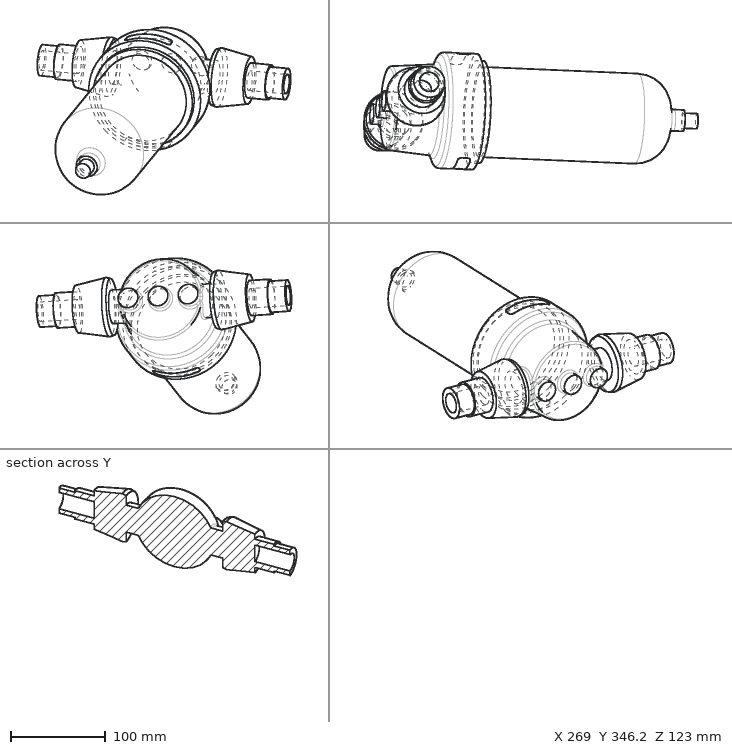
import cadquery as cq

overall_length = 346.2
overall_width = 269.0

nozzle_radius = 35.5 / 2
nozzle_fillet = 2.5
nut_radius = 31.5
nut_inner_radius = 30.0
nut_small_radius = 25.3
nut_inner_end = 56.0
nut_widest = 60.5
nut_outer_end = 93.8
sleeve_radius = 18.7
sleeve_end = 116.0
pipe_radius = 16.5
pipe_end = overall_width / 2
bore_radius = 10.5
bore_depth = pipe_end - nut_outer_end

head_top = 18.0
head_top_radius = 44.3
head_base = -31.0
head_base_radius = 48.5
head_edge_fillet = 2.5

collar_radius = 123.0 / 2
collar_start = -37.0
collar_end = -75.0
shoulder_inner_fillet = 5.2
shoulder_outer_fillet = 4.5
ring_radius = 54.5
ring_end = -82.5

bowl_radius = 47.8
bowl_end = -285.0
bowl_corner = 36.0
neck_radius = 11.5
neck_fillet = 5.0
neck_end = -300.0
drain_radius = 16.3 / 2
drain_end = nut_radius - overall_length

boss_radius = 10.7
boss_top = 28.7
boss_pitch = 32.5
boss_fillet = 2.5

label_length = 50.0
label_height = 13.5
label_corner = 3.8
label_center = -60.0
label_depth = 0.17

tolerance = 0.05


def round_ring(solid, y, radius, fillet):
    """Fillet the circular edge of the given radius that lies at height y."""
    ring = solid.edges("%CIRCLE").filter(
        lambda edge: abs(edge.Center().y - y) < tolerance and abs(edge.radius() - radius) < tolerance
    )
    return ring.fillet(fillet)


def make_housing():
    """Head, collar, ring, bowl and drain as one turned solid."""
    housing = (
        cq.Workplane("XY")
        .moveTo(0, head_top)
        .lineTo(head_top_radius, head_top)
        .lineTo(head_base_radius, head_base)
        .lineTo(collar_radius, collar_start)
        .lineTo(collar_radius, collar_end)
        .lineTo(ring_radius, collar_end)
        .lineTo(ring_radius, ring_end)
        .lineTo(bowl_radius, ring_end)
        .lineTo(bowl_radius, bowl_end)
        .lineTo(neck_radius, bowl_end)
        .lineTo(neck_radius, neck_end)
        .lineTo(drain_radius, neck_end)
        .lineTo(drain_radius, drain_end)
        .lineTo(0, drain_end)
        .close()
        .revolve(360, (0, 0, 0), (0, 1, 0))
        .rotate((0, 0, 0), (0, 1, 0), 90)
    )
    housing = round_ring(housing, head_top, head_top_radius, head_edge_fillet)
    housing = round_ring(housing, head_base, head_base_radius, shoulder_inner_fillet)
    housing = round_ring(housing, collar_start, collar_radius, shoulder_outer_fillet)
    housing = round_ring(housing, bowl_end, bowl_radius, bowl_corner)
    return round_ring(housing, bowl_end, neck_radius, neck_fillet)


def is_freeform(edge):
    """True for the curved joint lines where two round bodies cross."""
    return edge.geomType() not in ("LINE", "CIRCLE")


def add_nozzles(housing):
    """Join a nozzle on each side of the head and round the joints."""
    bar = cq.Workplane("YZ").circle(nozzle_radius).extrude(nut_widest, both=True)
    joints = housing.union(bar).edges().filter(is_freeform)
    return joints.fillet(nozzle_fillet)


def is_boss_side(face):
    """True for a face that reaches up to the flat ends of the bosses."""
    return face.BoundingBox().ymax > boss_top - tolerance


def add_bosses(housing):
    """Row of three bosses with filleted feet on the end of the head."""
    bosses = (
        cq.Workplane("XZ", origin=(0, boss_top, 0))
        .rarray(boss_pitch, 3.5, 3, 1)
        .circle(boss_radius)
        .extrude(boss_top)
    )
    joined = housing.union(bosses)
    sides = joined.faces("%CYLINDER").filter(is_boss_side)
    feet = sides.edges().filter(lambda edge: edge.Center().y < head_top + tolerance)
    return feet.fillet(boss_fillet)


def make_port():
    """Union nut, sleeve and pipe stub on the +X side."""
    return (
        cq.Workplane("XY")
        .moveTo(nut_inner_end, 0)
        .lineTo(nut_inner_end, nut_inner_radius)
        .lineTo(nut_widest, nut_radius)
        .lineTo(nut_outer_end, nut_small_radius)
        .lineTo(nut_outer_end, sleeve_radius)
        .lineTo(sleeve_end, sleeve_radius)
        .lineTo(sleeve_end, pipe_radius)
        .lineTo(pipe_end, pipe_radius)
        .lineTo(pipe_end, bore_radius)
        .lineTo(pipe_end - bore_depth, bore_radius)
        .lineTo(pipe_end - bore_depth, 0)
        .close()
        .revolve(360, (0, 0, 0), (1, 0, 0))
    )


def make_label():
    """Curved plate, just below the collar surface, that cuts one label recess."""
    outline = (
        cq.Workplane("XY")
        .center(0, label_center)
        .rect(label_length, label_height)
        .extrude(collar_radius)
        .edges("|Z")
        .fillet(label_corner)
    )
    core = cq.Workplane("XZ").circle(collar_radius - label_depth).extrude(-collar_end)
    return outline.cut(core)


housing = make_housing()
housing = add_nozzles(housing)
housing = add_bosses(housing)
port = make_port()
label = make_label()
result = housing
for turn in (0, 180):
    result = result.union(port.rotate((0, 0, 0), (0, 1, 0), turn))
    result = result.cut(label.rotate((0, 0, 0), (0, 1, 0), turn))